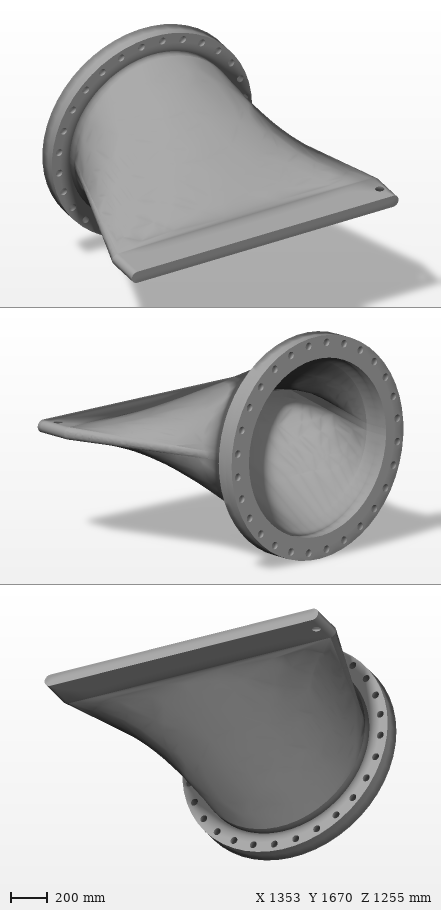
import cadquery as cq
import math

X_AXIS = cq.Vector(1, 0, 0)
Y_AXIS = cq.Vector(0, 1, 0)

FLANGE_DIAMETER = 1255.0
BORE_DIAMETER = 1000.0
NECK_DIAMETER = 1030.0
NECK_BORE_HEIGHT = 922.0
BOLT_CIRCLE_DIAMETER = 1170.0
BOLT_HOLE_DIAMETER = 42.0
BOLT_COUNT = 28

FLANGE_THICKNESS = 50.0
RING_THICKNESS = 55.0
BORE_LENGTH = 75.0
NECK_END = 159.0
BILL_START = 1135.0
VALVE_LENGTH = 1353.0

BILL_WIDTH = 1670.0
BILL_THICKNESS = 70.0
BILL_HOLE_DIAMETER = 50.0
BILL_HOLE_X = 1255.0
BILL_HOLE_Y = 773.0

SEAM_HALF_HEIGHT = 20.0
CAVITY_END_WIDTH = 1603.0
CAVITY_SIDE_HEIGHT = 53.0
CAVITY_PINCH_HEIGHT = 3.0


def disc(diameter, start, end):
    """Solid cylinder along X between two stations."""
    return cq.Workplane("YZ", origin=(start, 0, 0)).circle(diameter / 2).extrude(end - start)


def bolt_holes(start, end):
    """Bolt hole cutters on the bolt circle, straddling the vertical centre line."""
    half_pitch = 180 / BOLT_COUNT
    return (
        cq.Workplane("YZ", origin=(start, 0, 0))
        .polarArray(BOLT_CIRCLE_DIAMETER / 2, 90 + half_pitch, 360, BOLT_COUNT)
        .circle(BOLT_HOLE_DIAMETER / 2)
        .extrude(end - start)
    )


def round_section(x, half_width, half_height):
    """Circle or ellipse made of top and bottom arcs joined by a narrow arc on each side."""
    seam = math.degrees(math.asin(SEAM_HALF_HEIGHT / half_height))
    seam_angles = [seam, 180 - seam, 180 + seam, 360 - seam, 360 + seam]
    edges = [
        cq.Edge.makeEllipse(half_width, half_height, cq.Vector(x, 0, 0), X_AXIS, Y_AXIS, start, end)
        for start, end in zip(seam_angles, seam_angles[1:])
    ]
    return cq.Wire.assembleEdges(edges)


def bill_section(x):
    """Flat bar outline with fully rounded sides."""
    radius = BILL_THICKNESS / 2
    half_width = BILL_WIDTH / 2
    flat_end = half_width - radius
    outline = (
        cq.Workplane("YZ", origin=(x, 0, 0))
        .moveTo(flat_end, radius)
        .lineTo(-flat_end, radius)
        .threePointArc((-half_width, 0), (-flat_end, -radius))
        .lineTo(flat_end, -radius)
        .threePointArc((half_width, 0), (flat_end, radius))
        .close()
    )
    return outline.val()


def cavity_end_section(x):
    """Flattened end of the cavity, with lips that bow towards each other at the middle."""
    half_width = CAVITY_END_WIDTH / 2
    side = CAVITY_SIDE_HEIGHT / 2
    pinch = CAVITY_PINCH_HEIGHT / 2
    outline = (
        cq.Workplane("YZ", origin=(x, 0, 0))
        .moveTo(half_width, side)
        .threePointArc((0, pinch), (-half_width, side))
        .lineTo(-half_width, -side)
        .threePointArc((0, -pinch), (half_width, -side))
        .close()
    )
    return outline.val()


def tapered_body():
    """Round neck followed by a straight-sided taper to the flat bill."""
    neck_radius = NECK_DIAMETER / 2
    sections = [
        round_section(0, neck_radius, neck_radius),
        round_section(NECK_END, neck_radius, neck_radius),
        bill_section(BILL_START),
    ]
    return cq.Workplane(cq.Solid.makeLoft(sections, True))


def cavity():
    """Round bore, flattened towards the end of the neck, then tapered to a close at the bill."""
    bore_radius = BORE_DIAMETER / 2
    sections = [
        round_section(0, bore_radius, bore_radius),
        round_section(BORE_LENGTH, bore_radius, bore_radius),
        round_section(NECK_END, bore_radius, NECK_BORE_HEIGHT / 2),
        cavity_end_section(BILL_START),
    ]
    return cq.Workplane(cq.Solid.makeLoft(sections, True))


def bill():
    """Flat bill with one hole through it near its +Y side."""
    section = cq.Workplane("YZ", origin=(BILL_START, 0, 0)).add(bill_section(BILL_START))
    bar = section.toPending().extrude(VALVE_LENGTH - BILL_START)
    hole = (
        cq.Workplane("XY", origin=(BILL_HOLE_X, BILL_HOLE_Y, -BILL_THICKNESS))
        .circle(BILL_HOLE_DIAMETER / 2)
        .extrude(2 * BILL_THICKNESS)
    )
    return bar.cut(hole)


def make_duckbill_valve():
    """Flexible sleeve: flange, neck, hollow transition and bill in one piece."""
    flange = disc(FLANGE_DIAMETER, 0, FLANGE_THICKNESS).cut(bolt_holes(0, FLANGE_THICKNESS))
    return flange.union(tapered_body()).union(bill()).cut(cavity())


def make_backing_ring():
    """Ring that fits round the neck and clamps the flange from behind."""
    ring_end = FLANGE_THICKNESS + RING_THICKNESS
    ring = disc(FLANGE_DIAMETER, FLANGE_THICKNESS, ring_end)
    neck_hole = disc(NECK_DIAMETER, FLANGE_THICKNESS, ring_end)
    return ring.cut(neck_hole).cut(bolt_holes(FLANGE_THICKNESS, ring_end))


duckbill_valve = make_duckbill_valve()
backing_ring = make_backing_ring()

result = cq.Compound.makeCompound([duckbill_valve.solids().val(), backing_ring.solids().val()])